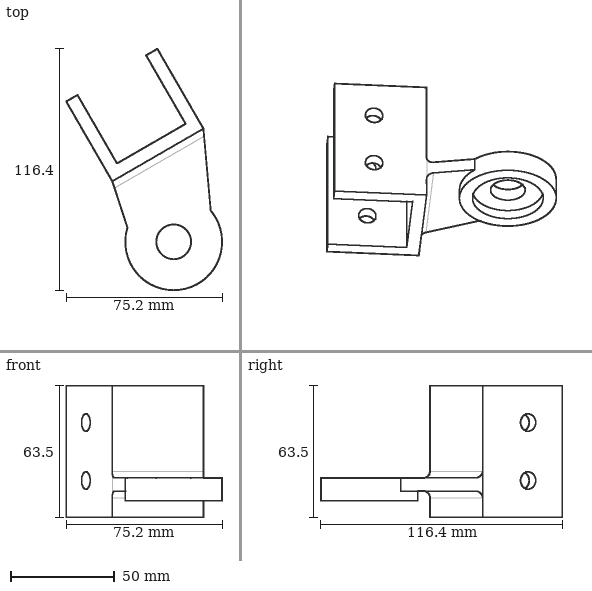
import cadquery as cq
import math

channel_width = 50.8
channel_depth = 44.45
channel_height = 63.5
wall = 6.35
channel_angle = 30.0

flange_hole_diameter = 8.33
flange_hole_from_tip = 19.05
flange_hole_spacing = 27.94

eye_diameter = 46.74
eye_bore_diameter = 16.64
eye_thickness = 11.1
eye_recess_diameter = 34.08
eye_to_web = 40.06
eye_from_edge = 11.09

arm_thickness = 6.35
arm_top = 19.05
arm_fillet = 3.175
arm_near_angle = 163.0
arm_far_angle = 40.0

near_face = -eye_from_edge
far_face = near_face + channel_width
web_middle = (near_face + far_face) / 2
flange_tip = eye_to_web + channel_depth
arm_bottom = arm_top - arm_thickness
eye_bottom = arm_top - eye_thickness
eye_recess_depth = eye_thickness - arm_thickness


def eye_rim_point(angle):
    """Point on the eye rim, in the unrotated channel frame."""
    local = math.radians(angle - channel_angle)
    radius = eye_diameter / 2
    return (radius * math.cos(local), radius * math.sin(local))


def make_channel():
    block = cq.Workplane("XY").box(
        channel_width, channel_depth, channel_height, centered=(True, False, False)
    )
    gap = (
        cq.Workplane("XY")
        .box(channel_width - 2 * wall, channel_depth, channel_height, centered=(True, False, False))
        .translate((0, wall, 0))
    )
    return block.cut(gap).translate((web_middle, eye_to_web, 0))


def make_arm():
    """Flat arm, tapering in plan and flaring into fillets at the web."""
    plan_outline = [
        (near_face, eye_to_web),
        eye_rim_point(arm_near_angle),
        (0, 0),
        eye_rim_point(arm_far_angle),
        (far_face, eye_to_web),
    ]
    plan = cq.Workplane("XY").polyline(plan_outline).close().extrude(channel_height)

    fillet_start = eye_to_web - arm_fillet
    side_profile = (
        cq.Workplane("YZ")
        .workplane(offset=-eye_diameter / 2)
        .moveTo(0, arm_bottom)
        .lineTo(fillet_start, arm_bottom)
        .radiusArc((eye_to_web, arm_bottom - arm_fillet), arm_fillet)
        .lineTo(eye_to_web, arm_top + arm_fillet)
        .radiusArc((fillet_start, arm_top), arm_fillet)
        .lineTo(0, arm_top)
        .close()
        .extrude(far_face + eye_diameter / 2)
    )
    return plan.intersect(side_profile)


def make_eye():
    return (
        cq.Workplane("XY")
        .workplane(offset=eye_bottom)
        .circle(eye_diameter / 2)
        .extrude(eye_thickness)
    )


def cut_flange_holes(body):
    for side in (-1, 1):
        height = channel_height / 2 + side * flange_hole_spacing / 2
        drill = (
            cq.Workplane("YZ")
            .workplane(offset=near_face)
            .center(flange_tip - flange_hole_from_tip, height)
            .circle(flange_hole_diameter / 2)
            .extrude(channel_width)
        )
        body = body.cut(drill)
    return body


def cut_eye_bore(body):
    """Through bore, opened from below up to the level of the arm's underside."""
    eye_base = cq.Workplane("XY").workplane(offset=eye_bottom)
    bore = eye_base.circle(eye_bore_diameter / 2).extrude(eye_thickness)
    recess = eye_base.circle(eye_recess_diameter / 2).extrude(eye_recess_depth)
    return body.cut(bore).cut(recess)


bracket = make_channel().union(make_arm()).union(make_eye())
bracket = cut_flange_holes(bracket)
bracket = cut_eye_bore(bracket)

result = bracket.rotate((0, 0, 0), (0, 0, 1), channel_angle)